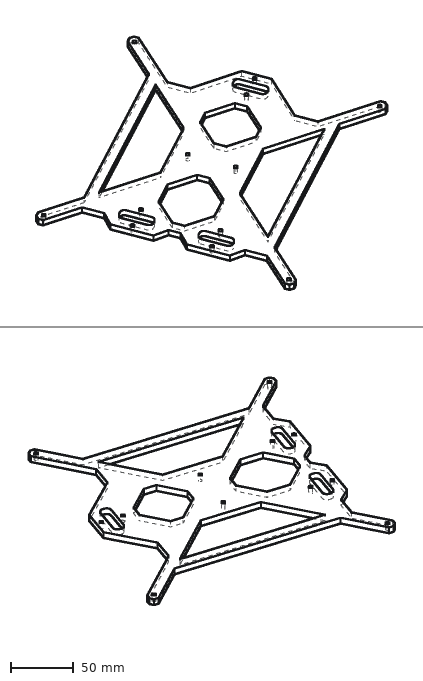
import cadquery as cq
import math

overall = 220.0
thickness = 6.0
hole_diameter = 3.0

arm_half_width = 4.8
arm_shift = arm_half_width * math.sqrt(2)
tip_edge = overall / 2
tip_near = tip_edge - arm_shift
tip_far = tip_near + 2 * arm_half_width * math.tan(math.pi / 8)
arm_hole_offset = 104.5

rail_outer = 81.2
rail_inner = 72.0
shoulder_y = 71.0
tower_y = 103.5
tower_half_width = 12.8
tower_base_half_width = 44.5
lower_edge_y = -85.5
tab_edge_y = -95.7
tab_half_width = 18.3
tab_base_half_width = 27.5
tab_center_x = 32.5

waist_half_width = 33.9
waist_half_height = 26.8
window_half_height = waist_half_height + rail_inner - waist_half_width

opening_half_width = 23.8
opening_flat_half = 5.3
opening_inner_y = 19.1
upper_opening_top = 67.3
lower_opening_bottom = -76.5
opening_corner = opening_half_width - opening_flat_half

slot_length = 29.5
slot_width = 9.5
slot_radius = 4.0
upper_slot_y = 89.3
lower_slot_x = 33.9
lower_slot_y = -81.2
slot_hole_offset = 9.7
center_hole_x = 20.5


def mirrored_outline(right_half):
    """Close a point chain with its mirror image across the Y axis."""
    left_half = [(-x, y) for x, y in reversed(right_half)]
    return prism(right_half + left_half)


def prism(points):
    return cq.Workplane("XY").polyline(points).close().extrude(thickness)


def make_body():
    arm_tip = [
        (tip_near, tip_edge),
        (tip_far, tip_edge),
        (tip_edge, tip_far),
        (tip_edge, tip_near),
    ]
    return mirrored_outline([
        (tower_half_width, tower_y),
        (tower_base_half_width, shoulder_y),
        (shoulder_y - arm_shift, shoulder_y),
        *arm_tip,
        (rail_outer, rail_outer - arm_shift),
        (rail_outer, arm_shift - rail_outer),
        *[(x, -y) for x, y in reversed(arm_tip)],
        (-lower_edge_y - arm_shift, lower_edge_y),
        (tab_center_x + tab_base_half_width, lower_edge_y),
        (tab_center_x + tab_half_width, tab_edge_y),
        (tab_center_x - tab_half_width, tab_edge_y),
        (tab_center_x - tab_base_half_width, lower_edge_y),
    ])


def make_window(side):
    return prism([
        (side * rail_inner, window_half_height),
        (side * waist_half_width, waist_half_height),
        (side * waist_half_width, -waist_half_height),
        (side * rail_inner, -window_half_height),
    ])


def make_opening(bottom, top):
    return mirrored_outline([
        (opening_flat_half, top),
        (opening_half_width, top - opening_corner),
        (opening_half_width, bottom + opening_corner),
        (opening_flat_half, bottom),
    ])


def make_slot(x, y):
    return (
        cq.Workplane("XY")
        .center(x, y)
        .rect(slot_length, slot_width)
        .extrude(thickness)
        .edges("|Z")
        .fillet(slot_radius)
    )


slots = [
    (0, upper_slot_y),
    (-lower_slot_x, lower_slot_y),
    (lower_slot_x, lower_slot_y),
]

result = make_body()
for window_side in (-1, 1):
    result = result.cut(make_window(window_side))
result = result.cut(make_opening(opening_inner_y, upper_opening_top))
result = result.cut(make_opening(lower_opening_bottom, -opening_inner_y))

hole_points = [(-center_hole_x, 0), (center_hole_x, 0)]
hole_points += [(sx * arm_hole_offset, sy * arm_hole_offset) for sx in (-1, 1) for sy in (-1, 1)]
for slot_x, slot_y in slots:
    result = result.cut(make_slot(slot_x, slot_y))
    hole_points += [(slot_x, slot_y + slot_hole_offset), (slot_x, slot_y - slot_hole_offset)]

holes = cq.Workplane("XY").pushPoints(hole_points).circle(hole_diameter / 2).extrude(thickness)
result = result.cut(holes)